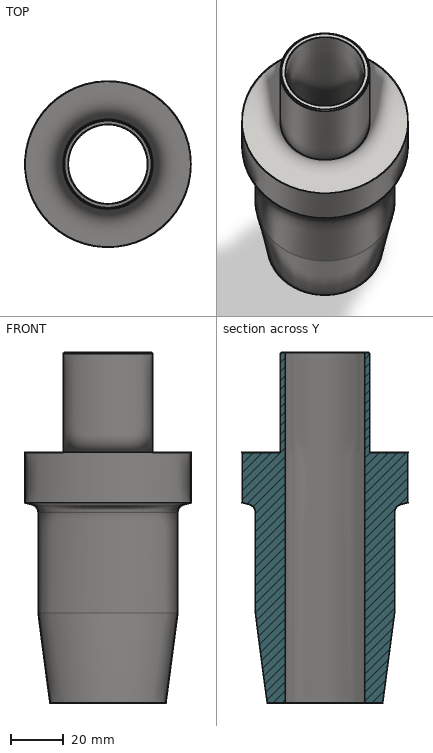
import cadquery as cq
import math

total_height = 133.0
nose_height = 34.3
flange_bottom = 76.0
flange_top = 95.1

nose_diameter = 44.0
body_diameter = 53.1
flange_diameter = 63.0
tube_diameter = 34.0
bore_diameter = 30.0

underside_angle = math.radians(15)
fillet_radius = 2.9
rim_chamfer = 0.5


def turned_body():
    """Solid of revolution: tapered nose, body, flange and tube."""
    nose_radius = nose_diameter / 2
    body_radius = body_diameter / 2
    flange_radius = flange_diameter / 2
    tube_radius = tube_diameter / 2

    center_x = body_radius + fillet_radius
    fillet_end_x = center_x - fillet_radius * math.sin(underside_angle)
    fillet_end_z = flange_bottom - (flange_radius - fillet_end_x) * math.tan(underside_angle)
    center_z = fillet_end_z - fillet_radius * math.cos(underside_angle)
    middle_angle = (math.pi / 2 - underside_angle) / 2
    fillet_middle = (
        center_x - fillet_radius * math.cos(middle_angle),
        center_z + fillet_radius * math.sin(middle_angle),
    )

    profile = (
        cq.Workplane("XZ")
        .lineTo(nose_radius, 0)
        .lineTo(body_radius, nose_height)
        .lineTo(body_radius, center_z)
        .threePointArc(fillet_middle, (fillet_end_x, fillet_end_z))
        .lineTo(flange_radius, flange_bottom)
        .lineTo(flange_radius, flange_top)
        .lineTo(tube_radius, flange_top)
        .lineTo(tube_radius, total_height - rim_chamfer)
        .lineTo(tube_radius - rim_chamfer, total_height)
        .lineTo(0, total_height)
        .close()
    )
    return profile.revolve(360, (0, 0, 0), (0, 1, 0))


def through_bore():
    """Straight bore along the full length."""
    return cq.Workplane("XY").circle(bore_diameter / 2).extrude(total_height)


result = turned_body().cut(through_bore())